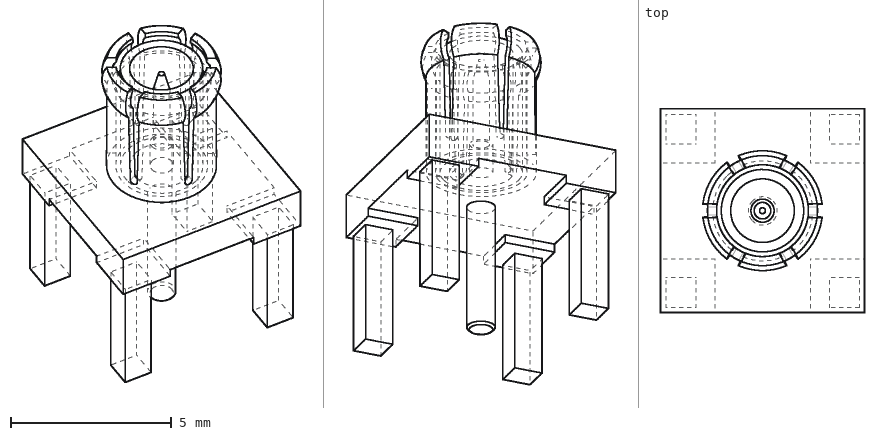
import cadquery as cq

base_width = 6.35
base_bottom = 3.95
base_top = 5.42
leg_width = 0.93
leg_spacing = 5.08
channel_width = 2.98
channel_depth = 0.27

part_top = 9.75
sleeve_diameter = 3.42
sleeve_bore = 2.86
collar_diameter = 3.73
collar_height = 1.06
groove_height = 0.72
groove_depth = 0.13
slot_count = 6
slot_bottom = 5.98
slot_top_width = 0.44
slot_bottom_width = 0.24

tube_diameter = 2.56
tube_bore = 1.98
tube_top = 9.52

contact_diameter = 0.52
contact_tip_diameter = 0.19
contact_tip_top = 9.29
contact_tip_length = 0.68
contact_shoulder_diameter = 0.72
contact_shoulder_height = 0.975
pin_diameter = 0.89
pin_chamfer = 0.08


def cylinder(diameter, bottom, top):
    return cq.Workplane("XY").workplane(offset=bottom).circle(diameter / 2).extrude(top - bottom)


def make_base():
    height = base_top - base_bottom
    base = cq.Workplane("XY").box(base_width, base_width, height, centered=(True, True, False))
    for size in ((base_width, channel_width), (channel_width, base_width)):
        base = base.cut(cq.Workplane("XY").box(*size, channel_depth, centered=(True, True, False)))
    base = base.translate((0, 0, base_bottom))
    legs = (
        cq.Workplane("XY")
        .rarray(leg_spacing, leg_spacing, 2, 2)
        .rect(leg_width, leg_width)
        .extrude(base_bottom)
    )
    return base.union(legs)


def make_slot():
    """Tapered radial slot with a rounded floor, cutting the wall on the +X side."""
    half_top = slot_top_width / 2
    half_bottom = slot_bottom_width / 2
    start_x = tube_diameter / 2
    return (
        cq.Workplane("YZ", origin=(start_x, 0, 0))
        .moveTo(-half_top, part_top)
        .lineTo(-half_bottom, slot_bottom + half_bottom)
        .threePointArc((0, slot_bottom), (half_bottom, slot_bottom + half_bottom))
        .lineTo(half_top, part_top)
        .close()
        .extrude(collar_diameter / 2)
    )


def make_sleeve():
    inner_radius = sleeve_bore / 2
    outer_radius = sleeve_diameter / 2
    collar_bottom = part_top - collar_height
    collar_middle = part_top - collar_height / 2
    groove_top = collar_middle + groove_height / 2
    groove_bottom = collar_middle - groove_height / 2
    sleeve = (
        cq.Workplane("XZ")
        .moveTo(inner_radius, base_top)
        .lineTo(outer_radius, base_top)
        .lineTo(outer_radius, collar_bottom)
        .threePointArc((collar_diameter / 2, collar_middle), (outer_radius, part_top))
        .lineTo(inner_radius, part_top)
        .lineTo(inner_radius, groove_top)
        .threePointArc((inner_radius + groove_depth, collar_middle), (inner_radius, groove_bottom))
        .close()
        .revolve()
    )
    for index in range(slot_count):
        sleeve = sleeve.cut(make_slot().rotate((0, 0, 0), (0, 0, 1), index * 360 / slot_count))
    return sleeve


def make_tube():
    return cylinder(tube_diameter, base_top, tube_top).cut(cylinder(tube_bore, base_top, tube_top))


def make_contact():
    cone_bottom = contact_tip_top - contact_tip_length
    contact = (
        cq.Workplane("XZ")
        .moveTo(0, base_top)
        .lineTo(contact_diameter / 2, base_top)
        .lineTo(contact_diameter / 2, cone_bottom)
        .lineTo(contact_tip_diameter / 2, contact_tip_top)
        .lineTo(0, contact_tip_top)
        .close()
        .revolve()
    )
    shoulder = cylinder(contact_shoulder_diameter, base_top, base_top + contact_shoulder_height)
    return contact.union(shoulder)


def make_pin():
    return cylinder(pin_diameter, 0, base_bottom + channel_depth).faces("<Z").chamfer(pin_chamfer)


result = make_base()
for feature in (make_sleeve(), make_tube(), make_contact(), make_pin()):
    result = result.union(feature)